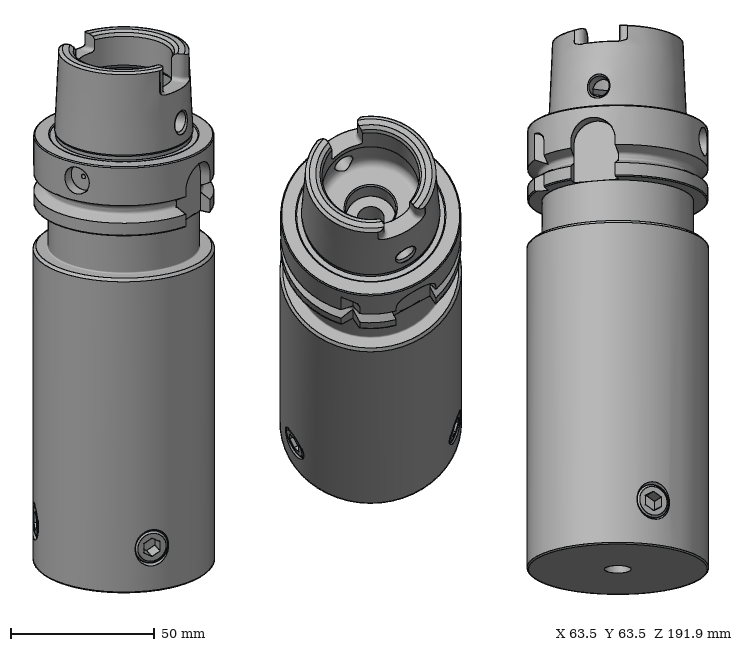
import cadquery as cq
import math

total_height = 191.9
flange_top = 160.0
flange_height = 26.0
body_height = 118.0

body_dia = 63.5
flange_dia = 63.0
neck_dia = 53.0

flange_bottom = flange_top - flange_height
body_radius = body_dia / 2
flange_radius = flange_dia / 2
neck_radius = neck_dia / 2

body_top_chamfer = 1.0
body_bottom_chamfer = 0.5
flange_chamfer = 0.4

ring_tolerance = 0.05

taper_rim_radius = 22.85
taper_base_radius = 24.2
taper_rim_chamfer_width = 1.4
taper_rim_chamfer_height = 0.6
taper_base_height = 161.6
face_relief_radius = 26.3
face_relief_depth = 0.4
undercut_radius = 23.9
undercut_top = 161.0
neck_fillet = 0.5

groove_radius = 27.7
groove_top = 143.4
groove_bottom = 141.0
groove_upper_edge = 145.5
groove_lower_edge = 138.9
groove_fillet = 1.0

cavity_mouth_radius = 17.0
mouth_outer_radius = 19.2
mouth_step_radius = 17.7
mouth_cone_height = 0.7
mouth_depth = 1.9
undercut_start_depth = 12.7
clamp_radius = 18.5
cavity_depth = 26.6
floor_fillet = 2.9
counterbore_radius = 8.8
counterbore_chamfer = 0.5
counterbore_depth = 8.0
coolant_hole_radius = 4.7

rim_slot_width = 12.5
rim_slot_flare_radius = 2.4
rim_slot_floor_fillet = 1.5
rim_slot_depth_minus_x = 6.3
rim_slot_depth_plus_x = 10.1

cross_hole_dia = 7.4
cross_hole_chamfer = 0.8
cross_hole_height = 169.4

key_slot_width = 16.2
key_slot_top = 155.7
key_slot_floor = 26.5
notch_width = 10.0
notch_top = 155.0
notch_center_y = 24.5
notch_floor = 20.0

chip_pocket_dia = 10.0
chip_pocket_depth = 4.6
chip_pocket_height = 153.1
chip_drill_dia = 1.6
chip_drill_depth = 2.0

screw_angles = (90, 220, 320)
screw_height = 16.5
screw_dia = 12.0
screw_length = 16.0
screw_end_chamfer = 0.8
screw_hole_mouth_dia = 13.6
screw_face_radius = 31.3
hex_across_flats = 6.0
hex_depth = 6.0


def radial_plane(angle, radius, height):
    """Plane at a radius from the axis, facing outward, with its local Y along Z."""
    direction = cq.Vector(math.cos(math.radians(angle)), math.sin(math.radians(angle)), 0)
    side = cq.Vector(0, 0, 1).cross(direction)
    origin = direction * radius + cq.Vector(0, 0, height)
    return cq.Plane(origin=origin.toTuple(), xDir=side.toTuple(), normal=direction.toTuple())


def ring_at(radius, height):
    """Selector for the circular edges around Z at one height, out to the given radius."""
    reach = radius + ring_tolerance
    return cq.selectors.BoxSelector(
        (-reach, -reach, height - ring_tolerance),
        (reach, reach, height + ring_tolerance),
        boundingbox=True,
    )


def turned_blank():
    """Outer shape of the holder, revolved about Z."""
    outline = (
        cq.Workplane("XZ")
        .lineTo(body_radius - body_bottom_chamfer, 0)
        .lineTo(body_radius, body_bottom_chamfer)
        .lineTo(body_radius, body_height - body_top_chamfer)
        .lineTo(body_radius - body_top_chamfer, body_height)
        .lineTo(neck_radius, body_height)
        .lineTo(neck_radius, flange_bottom)
        .lineTo(flange_radius - flange_chamfer, flange_bottom)
        .lineTo(flange_radius, flange_bottom + flange_chamfer)
        .lineTo(flange_radius, groove_lower_edge)
        .lineTo(groove_radius, groove_bottom)
        .lineTo(groove_radius, groove_top)
        .lineTo(flange_radius, groove_upper_edge)
        .lineTo(flange_radius, flange_top - flange_chamfer)
        .lineTo(flange_radius - flange_chamfer, flange_top)
        .lineTo(face_relief_radius, flange_top)
        .lineTo(face_relief_radius - face_relief_depth, flange_top - face_relief_depth)
        .lineTo(undercut_radius, flange_top - face_relief_depth)
        .lineTo(undercut_radius, undercut_top)
        .lineTo(taper_base_radius, taper_base_height)
        .lineTo(taper_rim_radius, total_height - taper_rim_chamfer_height)
        .lineTo(taper_rim_radius - taper_rim_chamfer_width, total_height)
        .lineTo(0, total_height)
        .close()
    )
    blank = outline.revolve(360, (0, 0, 0), (0, 1, 0))
    blank = blank.edges(ring_at(groove_radius, groove_top)).fillet(groove_fillet)
    blank = blank.edges(ring_at(groove_radius, groove_bottom)).fillet(groove_fillet)
    return blank.edges(ring_at(neck_radius, body_height)).fillet(neck_fillet)


def clamping_cavity():
    """Stepped cavity open at the shank rim, with the coolant hole running through to the tool end."""
    floor = total_height - cavity_depth
    clamp_cone = clamp_radius - cavity_mouth_radius
    outline = (
        cq.Workplane("XZ")
        .lineTo(coolant_hole_radius, 0)
        .lineTo(coolant_hole_radius, floor - counterbore_depth)
        .lineTo(counterbore_radius, floor - counterbore_depth)
        .lineTo(counterbore_radius, floor - counterbore_chamfer)
        .lineTo(counterbore_radius + counterbore_chamfer, floor)
        .lineTo(clamp_radius - floor_fillet, floor)
        .radiusArc((clamp_radius, floor + floor_fillet), -floor_fillet)
        .lineTo(clamp_radius, total_height - undercut_start_depth - clamp_cone)
        .lineTo(cavity_mouth_radius, total_height - undercut_start_depth)
        .lineTo(cavity_mouth_radius, total_height - mouth_depth)
        .lineTo(mouth_step_radius, total_height - mouth_cone_height)
        .lineTo(mouth_outer_radius, total_height)
        .lineTo(0, total_height)
        .close()
    )
    return outline.revolve(360, (0, 0, 0), (0, 1, 0))


def rim_slot(depth):
    """Drive slot toward +X whose walls round off where they meet the outside of the shank."""
    half_width = rim_slot_width / 2
    flare = rim_slot_flare_radius
    center_y = half_width + flare
    center_x = math.sqrt((taper_rim_radius - flare) ** 2 - center_y ** 2)
    to_surface = taper_rim_radius / (taper_rim_radius - flare)
    edge_x = center_x * to_surface
    edge_y = center_y * to_surface
    slot = (
        cq.Workplane("XY", origin=(0, 0, total_height - depth))
        .moveTo(0, -half_width)
        .lineTo(center_x, -half_width)
        .radiusArc((edge_x, -edge_y), flare)
        .lineTo(body_radius, -edge_y)
        .lineTo(body_radius, edge_y)
        .lineTo(edge_x, edge_y)
        .radiusArc((center_x, half_width), flare)
        .lineTo(0, half_width)
        .close()
        .extrude(depth)
    )
    return slot.faces("<Z").edges().fillet(rim_slot_floor_fillet)


def cross_hole():
    """Hole along X through both shank walls, chamfered at the outside."""
    wall = taper_rim_radius + (taper_base_radius - taper_rim_radius) * (
        (total_height - cross_hole_height) / (total_height - taper_base_height)
    )
    radius = cross_hole_dia / 2
    outline = (
        cq.Workplane("XY", origin=(0, 0, cross_hole_height))
        .moveTo(-body_radius, 0)
        .lineTo(-body_radius, radius + cross_hole_chamfer)
        .lineTo(-wall, radius + cross_hole_chamfer)
        .lineTo(-wall + cross_hole_chamfer, radius)
        .lineTo(wall - cross_hole_chamfer, radius)
        .lineTo(wall, radius + cross_hole_chamfer)
        .lineTo(body_radius, radius + cross_hole_chamfer)
        .lineTo(body_radius, 0)
        .close()
    )
    return outline.revolve(360, (0, 0, 0), (1, 0, 0))


def arched_slot(side, floor, center_y, width, top):
    """Round-topped slot on the +X or -X side (side = +1 or -1), open at the flange bottom."""
    radius = width / 2
    return (
        cq.Workplane("YZ", origin=(side * floor, 0, 0))
        .moveTo(center_y - radius, flange_bottom)
        .lineTo(center_y - radius, top - radius)
        .threePointArc((center_y, top), (center_y + radius, top - radius))
        .lineTo(center_y + radius, flange_bottom)
        .close()
        .extrude(side * flange_radius)
    )


def chip_pocket():
    """Blind pocket on the -Y side of the flange with a small drilled centre."""
    floor = flange_radius - chip_pocket_depth
    pocket = (
        cq.Workplane(radial_plane(-90, floor, chip_pocket_height))
        .circle(chip_pocket_dia / 2)
        .extrude(flange_radius)
    )
    drill = (
        cq.Workplane(radial_plane(-90, floor, chip_pocket_height))
        .circle(chip_drill_dia / 2)
        .extrude(-chip_drill_depth)
    )
    return pocket.union(drill)


def screw_hole(angle):
    """Blind radial hole for one set screw, with a countersunk mouth."""
    radius = screw_dia / 2
    mouth_radius = screw_hole_mouth_dia / 2
    mouth_depth = mouth_radius - radius
    hole = (
        cq.Workplane(radial_plane(angle, screw_face_radius - screw_length, screw_height))
        .circle(radius)
        .extrude(screw_length + body_radius - screw_face_radius)
    )
    mouth = (
        cq.Workplane(radial_plane(angle, body_radius, screw_height))
        .circle(mouth_radius)
        .workplane(offset=-mouth_depth)
        .circle(radius)
        .loft(ruled=True)
    )
    return hole.union(mouth)


def set_screw(angle):
    """Headless screw with chamfered ends and a hexagon socket."""
    shank = (
        cq.Workplane(radial_plane(angle, screw_face_radius, screw_height))
        .circle(screw_dia / 2)
        .extrude(-screw_length)
        .edges("%CIRCLE")
        .chamfer(screw_end_chamfer)
    )
    across_corners = hex_across_flats / math.cos(math.radians(30))
    socket = (
        cq.Workplane(radial_plane(angle, screw_face_radius, screw_height))
        .transformed(rotate=(0, 0, 90))
        .polygon(6, across_corners)
        .extrude(-hex_depth)
    )
    return shank.cut(socket)


holder = turned_blank().cut(clamping_cavity())
holder = holder.cut(rim_slot(rim_slot_depth_plus_x))
holder = holder.cut(rim_slot(rim_slot_depth_minus_x).rotate((0, 0, 0), (0, 0, 1), 180))
holder = holder.cut(cross_hole())
for side in (1, -1):
    holder = holder.cut(arched_slot(side, key_slot_floor, 0, key_slot_width, key_slot_top))
holder = holder.cut(arched_slot(-1, notch_floor, notch_center_y, notch_width, notch_top))
holder = holder.cut(chip_pocket())
for angle in screw_angles:
    holder = holder.cut(screw_hole(angle))

set_screws = [set_screw(angle) for angle in screw_angles]

result = cq.Compound.makeCompound([holder.val(), *[screw.val() for screw in set_screws]])